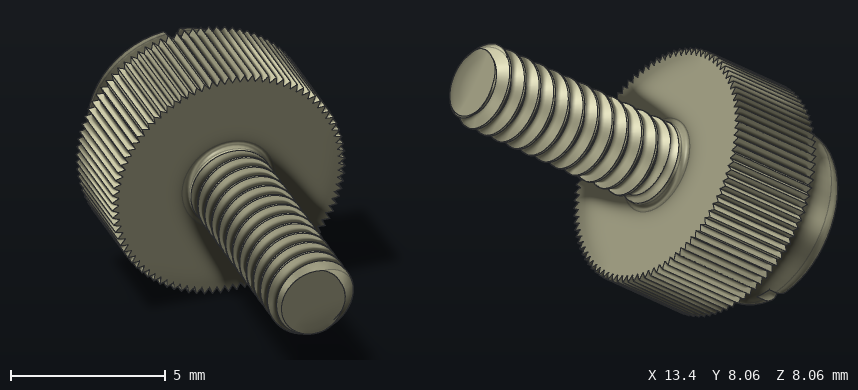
import cadquery as cq
import math

total_length = 13.42
knurl_start = 2.2
knurl_end = 5.5

head_radius = 3.0
head_rounding = 0.62
head_root_fillet = 0.27
slot_width = 0.6
slot_depth = 0.89

knurl_tip_radius = 4.03
knurl_depth = 0.23
knurl_teeth = 90

thread_radius = 1.42
core_radius = 1.03
shank_root_fillet = 0.19
end_chamfer_radius = 1.17
plain_shank_end = 5.81
plain_cone_end = 6.1

turns_in_gauge = 11
gauge_length = 6.98
pitch = gauge_length / turns_in_gauge
crest_width = pitch / 8
flank_angle = math.radians(30)
thread_turns = 14
thread_start = 5.33
runout_start = 5.96
runout_end = 6.17
root_overlap = 0.07
base_radius = core_radius - root_overlap


def make_turned_body():
    """Head and plain shank up to the thread run-out, turned about X."""
    arc_mid = 1 - math.sqrt(0.5)
    corner = head_rounding * arc_mid
    head_fillet_mid = (
        knurl_start - head_root_fillet * arc_mid,
        head_radius + head_root_fillet * arc_mid,
    )
    shank_fillet_mid = (
        knurl_end + shank_root_fillet * arc_mid,
        thread_radius + shank_root_fillet * arc_mid,
    )
    profile = (
        cq.Workplane("XY")
        .lineTo(0, head_radius - head_rounding)
        .threePointArc((corner, head_radius - corner), (head_rounding, head_radius))
        .lineTo(knurl_start - head_root_fillet, head_radius)
        .threePointArc(head_fillet_mid, (knurl_start, head_radius + head_root_fillet))
        .lineTo(knurl_end, head_radius + head_root_fillet)
        .lineTo(knurl_end, thread_radius + shank_root_fillet)
        .threePointArc(shank_fillet_mid, (knurl_end + shank_root_fillet, thread_radius))
        .lineTo(plain_shank_end, thread_radius)
        .lineTo(plain_cone_end, base_radius)
        .lineTo(plain_cone_end, 0)
        .close()
    )
    return profile.revolve(360, (0, 0, 0), (1, 0, 0))


def make_knurl():
    """Collar with V-shaped teeth; one tooth tip points along +Z."""
    points = []
    for step in range(2 * knurl_teeth):
        angle = math.pi * step / knurl_teeth
        radius = knurl_tip_radius - knurl_depth * (step % 2)
        points.append((radius * math.sin(angle), radius * math.cos(angle)))
    return (
        cq.Workplane("YZ", origin=(knurl_start, 0, 0))
        .polyline(points)
        .close()
        .extrude(knurl_end - knurl_start)
    )


def make_thread():
    """Threaded rod: core with a right-hand ridge, trimmed to its run-out cone and chamfered tip."""
    helix_length = thread_turns * pitch
    crest_half = crest_width / 2
    base_half = crest_half + (thread_radius - base_radius) * math.tan(flank_angle)
    helix = cq.Wire.makeHelix(pitch, helix_length, base_radius)
    ridge = (
        cq.Workplane("XZ")
        .moveTo(base_radius, -base_half)
        .lineTo(thread_radius, -crest_half)
        .lineTo(thread_radius, crest_half)
        .lineTo(base_radius, base_half)
        .close()
        .sweep(cq.Workplane(helix), isFrenet=True)
        .rotate((0, 0, 0), (0, 1, 0), 90)
        .translate((thread_start, 0, 0))
    )
    core = (
        cq.Workplane("YZ", origin=(thread_start - pitch, 0, 0))
        .circle(core_radius)
        .extrude(helix_length + 2 * pitch)
    )
    runout_slope = (thread_radius - core_radius) / (runout_end - runout_start)
    cone_tip = runout_end - thread_radius / runout_slope
    envelope_radius = thread_radius + root_overlap
    envelope = (
        cq.Workplane("XY")
        .moveTo(cone_tip, 0)
        .lineTo(cone_tip + envelope_radius / runout_slope, envelope_radius)
        .lineTo(total_length - (envelope_radius - end_chamfer_radius), envelope_radius)
        .lineTo(total_length, end_chamfer_radius)
        .lineTo(total_length, 0)
        .close()
        .revolve(360, (0, 0, 0), (1, 0, 0))
    )
    return core.union(ridge).intersect(envelope)


def make_slot():
    """Screwdriver slot across the head, running along Z."""
    return cq.Workplane("XY").box(
        2 * slot_depth, slot_width, 2 * (head_radius + head_root_fillet)
    )


result = make_turned_body().union(make_knurl()).union(make_thread()).cut(make_slot())